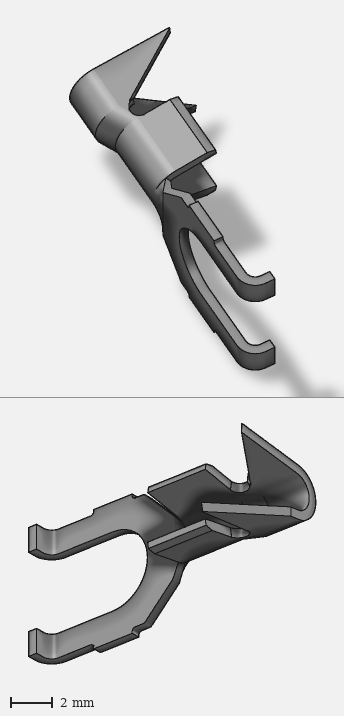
import cadquery as cq
import math


sheet = 0.5
barrel_radius = 1.5

insulation_length = 2.5
neck_length = 1.05
wire_length = 3.6
flare_length = 0.97
wire_start = insulation_length + neck_length
wire_end = wire_start + wire_length
fork_start = wire_end + flare_length
fork_end = 16.26

insulation_drop = 0.5
insulation_angle = 6.65
insulation_top = 5.08
insulation_low_corner = 1.38

wire_angle = 9.6
wire_top = 3.53
wire_bevel_height = 0.44
wire_bevel_depth = 0.17
neck_cut_floor = 1.12

flare_half_angle = 59.0

root_half_width = 1.775
fork_half_width = 3.54
shoulder_radius = 0.2
pad_half_width = 3.825
pad_start = 10.65
pad_length = 2.4
pad_fillet = 0.2
slot_radius = 2.175
slot_bottom = 9.7

tip_height = 1.53
tip_inner_radius = 0.53
tip_outer_radius = tip_inner_radius + sheet

clear = 20.0


def section_plane(x):
    """Plane across the part at x, with local axes (Z, Y)."""
    return cq.Plane(origin=(x, 0, 0), xDir=(0, 0, 1), normal=(-1, 0, 0))


def arm_points(radius, center_y, angle, reach):
    """Tangent point of an arm on the barrel circle, and the arm's end point."""
    a = math.radians(angle)
    z = radius * math.cos(a)
    y = center_y - radius * math.sin(a)
    return (z, y), (z + reach * math.sin(a), y + reach * math.cos(a))


def arm_reach(center_y, angle, top):
    """Straight arm length that puts the inner corner of its square end at top."""
    a = math.radians(angle)
    inner_tangent_y = center_y - (barrel_radius - sheet) * math.sin(a)
    return (top - inner_tangent_y) / math.cos(a)


def mirrored(point):
    return (-point[0], point[1])


def barrel_section(workplane, bottom, angle, top):
    """Open U section: round floor and two straight arms leaning outward."""
    center_y = bottom + barrel_radius
    inner_radius = barrel_radius - sheet
    reach = arm_reach(center_y, angle, top)
    outer_tangent, outer_end = arm_points(barrel_radius, center_y, angle, reach)
    inner_tangent, inner_end = arm_points(inner_radius, center_y, angle, reach)
    return (
        workplane.moveTo(*outer_end)
        .lineTo(*outer_tangent)
        .threePointArc((0, bottom), mirrored(outer_tangent))
        .lineTo(*mirrored(outer_end))
        .lineTo(*mirrored(inner_end))
        .lineTo(*mirrored(inner_tangent))
        .threePointArc((0, bottom + sheet), inner_tangent)
        .lineTo(*inner_end)
        .close()
    )


def barrel(x_start, length, bottom, angle, top):
    workplane = cq.Workplane(section_plane(x_start))
    return barrel_section(workplane, bottom, angle, top).extrude(-length)


def insulation_crimp():
    """Barrel whose two arms are cut to opposite-handed points."""
    body = barrel(0, insulation_length, -insulation_drop, insulation_angle, insulation_top)
    for side in (1, -1):
        peak_x, low_x = (0, insulation_length) if side > 0 else (insulation_length, 0)
        offcut = (
            cq.Workplane("XY")
            .moveTo(peak_x, insulation_top)
            .lineTo(low_x, insulation_low_corner)
            .lineTo(low_x, insulation_top)
            .close()
            .extrude(side * clear)
        )
        body = body.cut(offcut)
    return body


def neck():
    """Step from the insulation crimp up to the wire crimp, with round-bottomed gaps."""
    gap_radius = neck_length / 2
    gap_center_y = neck_cut_floor + gap_radius
    start = barrel_section(
        cq.Workplane(section_plane(insulation_length)), -insulation_drop, insulation_angle, gap_center_y
    )
    end = barrel_section(cq.Workplane(section_plane(wire_start)), 0, wire_angle, gap_center_y)
    body = cq.Workplane(cq.Solid.makeLoft([start.val(), end.val()], True))
    gap = (
        cq.Workplane("XY")
        .center(insulation_length + gap_radius, gap_center_y)
        .circle(gap_radius)
        .extrude(clear, both=True)
    )
    return body.cut(gap)


def wire_crimp():
    """Barrel with straight arms, beveled on the outside of their tips."""
    body = barrel(wire_start, wire_length, 0, wire_angle, wire_top)
    reach = arm_reach(barrel_radius, wire_angle, wire_top)
    _, outer_end = arm_points(barrel_radius, barrel_radius, wire_angle, reach)
    _, bevel_start = arm_points(barrel_radius, barrel_radius, wire_angle, reach - wire_bevel_height)
    _, bevel_end = arm_points(barrel_radius - wire_bevel_depth, barrel_radius, wire_angle, reach)
    wedge = (
        cq.Workplane(section_plane(wire_start))
        .polyline([bevel_start, outer_end, bevel_end])
        .close()
        .extrude(-wire_length)
    )
    return body.cut(wedge).cut(wedge.mirror("XY"))


def flare():
    """Transition from a curved strip of the wire crimp to the flat fork root."""
    a = math.radians(flare_half_angle)
    inner_radius = barrel_radius - sheet
    outer_edge = (barrel_radius * math.sin(a), barrel_radius * (1 - math.cos(a)))
    inner_edge = (inner_radius * math.sin(a), barrel_radius - inner_radius * math.cos(a))
    curved = (
        cq.Workplane(section_plane(wire_end))
        .moveTo(*outer_edge)
        .threePointArc((0, 0), mirrored(outer_edge))
        .lineTo(*mirrored(inner_edge))
        .threePointArc((0, sheet), inner_edge)
        .close()
    )
    flat = (
        cq.Workplane(section_plane(fork_start))
        .moveTo(root_half_width, 0)
        .lineTo(-root_half_width, 0)
        .lineTo(-root_half_width, sheet)
        .lineTo(root_half_width, sheet)
        .close()
    )
    return cq.Workplane(cq.Solid.makeLoft([curved.val(), flat.val()], True))


def fork_outline():
    """Half of the fork on the +Z side, seen along the sheet normal."""
    shoulder_x = fork_start + fork_half_width - root_half_width
    setback = shoulder_radius * math.tan(math.radians(45) / 2)
    pad_end = pad_start + pad_length
    slot_center_x = slot_bottom + slot_radius
    diagonal = slot_radius * math.sqrt(0.5)
    fillet_top = fork_half_width + pad_fillet
    return (
        cq.Workplane(cq.Plane(origin=(0, 0, 0), xDir=(1, 0, 0), normal=(0, -1, 0)))
        .moveTo(fork_start, 0)
        .lineTo(fork_start, root_half_width)
        .lineTo(shoulder_x - setback * math.sqrt(0.5), fork_half_width - setback * math.sqrt(0.5))
        .radiusArc((shoulder_x + setback, fork_half_width), shoulder_radius)
        .lineTo(pad_start - pad_fillet, fork_half_width)
        .radiusArc((pad_start, fillet_top), -pad_fillet)
        .lineTo(pad_start, pad_half_width)
        .lineTo(pad_end, pad_half_width)
        .lineTo(pad_end, fillet_top)
        .radiusArc((pad_end + pad_fillet, fork_half_width), -pad_fillet)
        .lineTo(fork_end, fork_half_width)
        .lineTo(fork_end, slot_radius)
        .lineTo(slot_center_x, slot_radius)
        .threePointArc((slot_center_x - diagonal, diagonal), (slot_bottom, 0))
        .close()
    )


def fork_profile():
    """Side profile of the sheet in X and Y, with the tip bent up toward +Y."""
    bend_x = fork_end - tip_outer_radius
    inner_x = fork_end - sheet
    return (
        cq.Workplane("XY")
        .moveTo(fork_start, 0)
        .lineTo(bend_x, 0)
        .radiusArc((fork_end, tip_outer_radius), -tip_outer_radius)
        .lineTo(fork_end, tip_height)
        .lineTo(inner_x, tip_height)
        .lineTo(inner_x, tip_outer_radius)
        .radiusArc((bend_x, sheet), tip_inner_radius)
        .lineTo(fork_start, sheet)
        .close()
        .extrude(clear, both=True)
    )


def fork():
    half = fork_outline().extrude(-clear).intersect(fork_profile())
    return half.union(half.mirror("XY"))


result = insulation_crimp().union(neck()).union(wire_crimp()).union(flare()).union(fork())